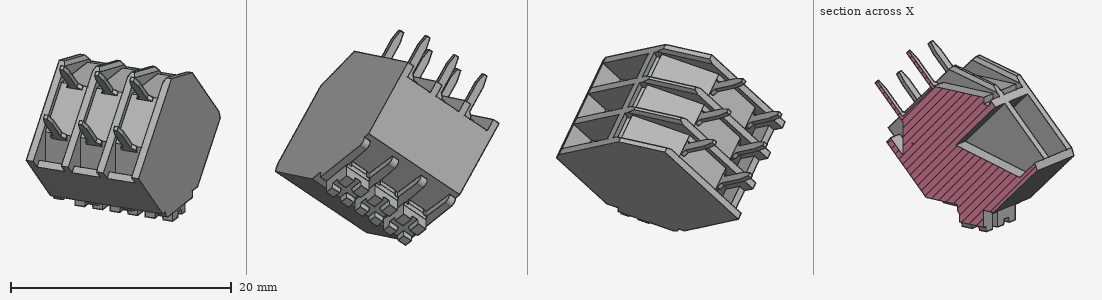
import cadquery as cq
import math


POLES = 3
PITCH = 3.5
WALL = 0.7
BAY_WIDTH = PITCH - WALL
HOUSING_WIDTH = POLES * PITCH + WALL
BAY_CENTRES = [(i - (POLES - 1) / 2) * PITCH for i in range(POLES)]
CLEAR = 3.0

TILT = 45.0
HOUSING_DEPTH = 12.87
HOUSING_LENGTH = 12.68
SLOPE_RUN = 10.19
SLOPE_RISE = -3.91
REAR_CHAMFER_RISE = 0.70
REAR_CHAMFER_RUN = 0.31
UNDERSIDE_Z = -5.30

KEEL_BOTTOM_Z = -5.95
KEEL_FRONT_Y = 5.88
KEEL_BACK_Y = 11.78
KEEL_RADIUS = 0.6

PIN_FLOOR_RISE = -0.5
RIM_RISE = -1.17
RIM_THICKNESS = 0.68
TOP_FLOOR_Z = 5.50
TOP_FLOOR_BACK_Y = 11.83
FRONT_WALL_Y = 2.66
LEDGE_START_RISE = -5.08
LEDGE_BACK = (12.32, 4.77)
LEDGE_FRONT_Z = 4.88
WALL_CHAMFER_WIDTH = 0.2
WALL_CHAMFER_DEPTH = 0.42

ENTRY_RISE = -5.88
ENTRY_REAR_RISE = -(HOUSING_DEPTH - REAR_CHAMFER_RISE)
ENTRY_REAR_DEPTH = 2.42
ENTRY_FLOOR_ANGLE = 31.6

PIN_RUNS = (2.87, 7.87)
PIN_THICKNESS = 0.4
PIN_WIDTH = 0.78
PIN_TIP_WIDTH = 0.36
PIN_TIP_RISE = 3.53
PIN_TAPER_RISE = 2.5
PIN_FOOT_WIDTH = 1.52
PIN_SHOULDER_RISE = -0.43
PIN_ROOT_RISE = -1.5

FOOT_WIDTH = 2.74
FOOT_BOTTOM_Z = -7.43
FOOT_FRONT_Y = 9.04
FOOT_CHAMFER_Z = -6.19
FOOT_CHAMFER_SLOPE = 1.75
FOOT_TONGUE_WIDTH = 1.88
FOOT_TONGUE_Z = -5.83
RELIEF_BACK_WIDTH = 2.52
NOTCH_WIDTH = 0.86
NOTCH_TOP_WIDTH = 0.64
NOTCH_HEIGHT = 0.51
NOTCH_Y = 10.59


def tilted(run, rise):
    """Turn housing-aligned coordinates into (y, z)."""
    half_turn = math.sqrt(0.5)
    return ((run - rise) * half_turn, (run + rise) * half_turn)


def prism(outline, width, centre_x=0.0):
    """Extrude a (y, z) outline along X, centred on centre_x."""
    section = cq.Workplane("YZ").polyline(outline).close()
    return section.extrude(width / 2, both=True).translate((centre_x, 0, 0))


def housing_blank():
    underside_sum = UNDERSIDE_Z * math.sqrt(2)
    outline = [
        tilted(0, 0),
        tilted(SLOPE_RUN, 0),
        tilted(HOUSING_LENGTH, SLOPE_RISE),
        tilted(HOUSING_LENGTH, REAR_CHAMFER_RISE - HOUSING_DEPTH),
        tilted(HOUSING_LENGTH - REAR_CHAMFER_RUN, -HOUSING_DEPTH),
        tilted(underside_sum + HOUSING_DEPTH, -HOUSING_DEPTH),
        tilted(0, underside_sum),
    ]
    return prism(outline, HOUSING_WIDTH)


def keel():
    outline = [
        (KEEL_FRONT_Y, UNDERSIDE_Z),
        (KEEL_BACK_Y, UNDERSIDE_Z),
        (KEEL_BACK_Y, KEEL_BOTTOM_Z),
        (KEEL_FRONT_Y, KEEL_BOTTOM_Z),
    ]
    return prism(outline, HOUSING_WIDTH).edges("|X and <Y and <Z").fillet(KEEL_RADIUS)


def bay_cutter(x):
    """Pin face, flat top floor and front recess of one bay."""
    floor_rise_in_z = PIN_FLOOR_RISE * math.sqrt(2)
    outline = [
        tilted(HOUSING_LENGTH, LEDGE_START_RISE),
        LEDGE_BACK,
        (TOP_FLOOR_BACK_Y, LEDGE_FRONT_Z),
        (TOP_FLOOR_BACK_Y, TOP_FLOOR_Z),
        (TOP_FLOOR_Z - floor_rise_in_z, TOP_FLOOR_Z),
        (FRONT_WALL_Y, FRONT_WALL_Y + floor_rise_in_z),
        (FRONT_WALL_Y, RIM_THICKNESS * math.sqrt(2) - FRONT_WALL_Y),
        tilted(RIM_THICKNESS, RIM_RISE),
        tilted(-CLEAR, RIM_RISE),
        tilted(-CLEAR, CLEAR),
        tilted(HOUSING_LENGTH + CLEAR, CLEAR),
        tilted(HOUSING_LENGTH + CLEAR, LEDGE_START_RISE),
    ]
    return prism(outline, BAY_WIDTH, x)


def wall_chamfer_cutter(x):
    """Bevel the inner edges of the sloped wall tops on both sides of a bay."""
    front_y, front_z = tilted(SLOPE_RUN, 0)
    back_y, back_z = tilted(HOUSING_LENGTH, SLOPE_RISE)
    slope = cq.Vector(0, back_y - front_y, back_z - front_z)
    plane = cq.Plane(
        origin=(x, (front_y + back_y) / 2, (front_z + back_z) / 2),
        xDir=(1, 0, 0),
        normal=(-slope).toTuple(),
    )
    half_bay = BAY_WIDTH / 2
    half_top = half_bay + WALL_CHAMFER_WIDTH
    section = [
        (-half_bay, -WALL_CHAMFER_DEPTH),
        (half_bay, -WALL_CHAMFER_DEPTH),
        (half_top, 0),
        (half_top, CLEAR),
        (-half_top, CLEAR),
        (-half_top, 0),
    ]
    return cq.Workplane(plane).polyline(section).close().extrude(slope.Length / 2 + CLEAR, both=True)


def wire_entry_cutter(x):
    floor_drop = (ENTRY_RISE - ENTRY_REAR_RISE) * math.tan(math.radians(ENTRY_FLOOR_ANGLE))
    rear_floor_run = HOUSING_LENGTH - ENTRY_REAR_DEPTH
    outline = [
        tilted(HOUSING_LENGTH + CLEAR, ENTRY_REAR_RISE),
        tilted(rear_floor_run, ENTRY_REAR_RISE),
        tilted(rear_floor_run - floor_drop, ENTRY_RISE),
        tilted(HOUSING_LENGTH + CLEAR, ENTRY_RISE),
    ]
    return prism(outline, BAY_WIDTH, x)


def pin(x, run):
    """Flat pin with a tapered tip and a flared foot."""
    neck_rise = PIN_SHOULDER_RISE + (PIN_FOOT_WIDTH - PIN_WIDTH) / 2
    right_side = [
        (PIN_FOOT_WIDTH / 2, PIN_ROOT_RISE),
        (PIN_FOOT_WIDTH / 2, PIN_SHOULDER_RISE),
        (PIN_WIDTH / 2, neck_rise),
        (PIN_WIDTH / 2, PIN_TAPER_RISE),
        (PIN_TIP_WIDTH / 2, PIN_TIP_RISE),
    ]
    left_side = [(-px, pz) for px, pz in reversed(right_side)]
    upright = cq.Workplane("XZ").polyline(right_side + left_side).close().extrude(-PIN_THICKNESS)
    return upright.translate((x, run, 0)).rotate((0, 0, 0), (1, 0, 0), TILT)


def foot_chamfer_y(z):
    """Depth position of the foot's chamfer plane at height z."""
    return FOOT_FRONT_Y - (z - FOOT_CHAMFER_Z) / FOOT_CHAMFER_SLOPE


def keel_relief_cutter(x):
    """Clear the keel in front of a foot, with slightly drafted sides."""
    back_y = foot_chamfer_y(KEEL_BOTTOM_Z)
    front_y = KEEL_FRONT_Y - CLEAR
    half_front = FOOT_WIDTH / 2
    half_back = RELIEF_BACK_WIDTH / 2
    outline = [
        (x - half_front, front_y),
        (x + half_front, front_y),
        (x + half_front, KEEL_FRONT_Y),
        (x + half_back, back_y),
        (x - half_back, back_y),
        (x - half_front, KEEL_FRONT_Y),
    ]
    height = UNDERSIDE_Z - KEEL_BOTTOM_Z
    return cq.Workplane("XY", origin=(0, 0, KEEL_BOTTOM_Z)).polyline(outline).close().extrude(height)


def foot_body(x, width, chamfer_top_z):
    outline = [
        (KEEL_BACK_Y, UNDERSIDE_Z),
        (KEEL_BACK_Y, FOOT_BOTTOM_Z),
        (FOOT_FRONT_Y, FOOT_BOTTOM_Z),
        (FOOT_FRONT_Y, FOOT_CHAMFER_Z),
        (foot_chamfer_y(chamfer_top_z), chamfer_top_z),
        (foot_chamfer_y(chamfer_top_z), UNDERSIDE_Z),
    ]
    return prism(outline, width, x)


def notch_cutter(plane_name):
    """Tapered groove through a foot, centred on the origin of the given plane."""
    section = [
        (-NOTCH_WIDTH / 2, 0),
        (NOTCH_WIDTH / 2, 0),
        (NOTCH_TOP_WIDTH / 2, NOTCH_HEIGHT),
        (-NOTCH_TOP_WIDTH / 2, NOTCH_HEIGHT),
    ]
    return cq.Workplane(plane_name).polyline(section).close().extrude(CLEAR, both=True)


def foot(x):
    """Button foot with crossed screwdriver grooves in its end."""
    body = foot_body(x, FOOT_WIDTH, KEEL_BOTTOM_Z)
    body = body.union(foot_body(x, FOOT_TONGUE_WIDTH, FOOT_TONGUE_Z))
    for plane_name in ("XZ", "YZ"):
        body = body.cut(notch_cutter(plane_name).translate((x, NOTCH_Y, FOOT_BOTTOM_Z)))
    return body


result = housing_blank().union(keel())
for bay_x in BAY_CENTRES:
    result = result.cut(bay_cutter(bay_x))
    result = result.cut(wall_chamfer_cutter(bay_x))
    result = result.cut(wire_entry_cutter(bay_x))
    result = result.cut(keel_relief_cutter(bay_x))
    result = result.union(foot(bay_x))
    for pin_run in PIN_RUNS:
        result = result.union(pin(bay_x, pin_run))